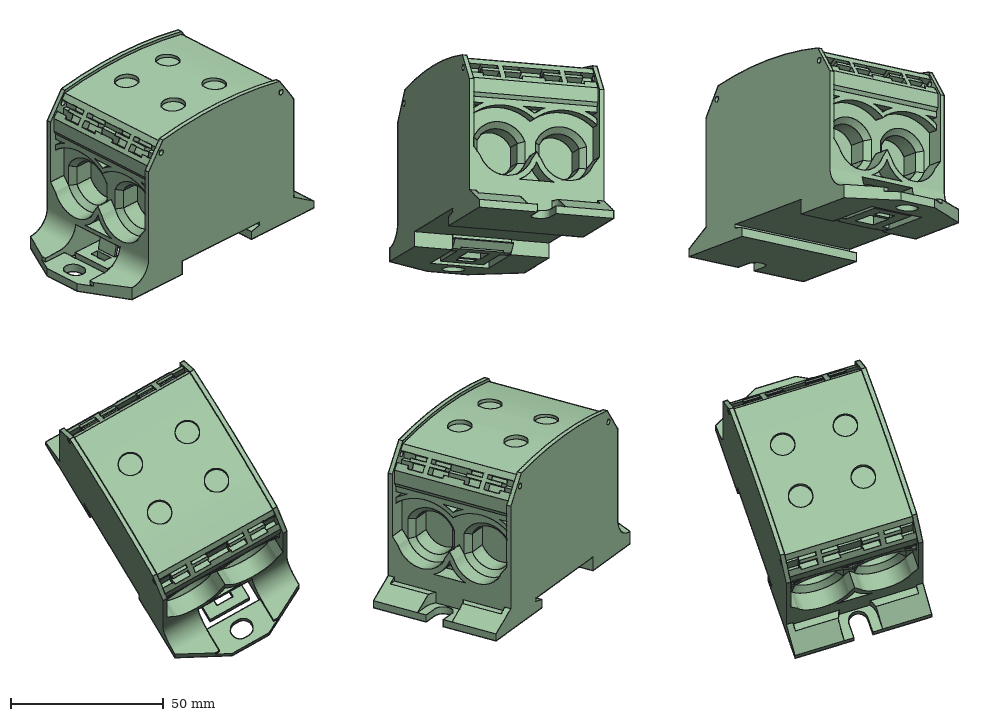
import cadquery as cq
import math


WIDTH = 47.0
HEIGHT = 57.0
TOTAL_LENGTH = 93.0
BLOCK_HALF = 33.6
BACK_FOOT_END = 42.9
FRONT_FOOT_END = BACK_FOOT_END - TOTAL_LENGTH
HALF_WIDTH = WIDTH / 2
CUT_MARGIN = 0.9

WALL_INNER_X = 21.9
SHOULDER_HALF = 27.0
SHOULDER_Z = 54.7
CHAMFER_BOTTOM_Z = 45.3
CROWN_DROP = 1.0
PIN_HOLE_RADIUS = 0.9
PIN_HOLE_Y = 27.7
PIN_HOLE_Z = 50.2

LID_SLOPE_BOTTOM_Y = 32.1
LID_SLOPE_BOTTOM_Z = 46.1
LID_LIP_Z = 41.3
LID_UNDERSIDE_Z = 40.0
BAND_Y = 31.3

POLE_X = 10.8
SCREW_HOLE_RADIUS = 4.0
SCREW_HOLE_Y = 9.5
SCREW_HOLE_FLOOR_Z = 54.4

VENT_TOP_Z = 51.7
VENT_BAR_TOP_Z = 50.5
VENT_BAR_BOTTOM_Z = 49.5
VENT_BOTTOM_Z = 47.4
VENT_DEPTH = 3.2
VENT_RIB_HALF = 0.9
VENT_LENGTH = 5.9
POCKET_FRONT_Y = -30.6
POCKET_FLOOR_Z = 42.8
POCKET_FACE_Y = -27.7
POCKET_LEDGE_Z = 48.2
POCKET_BACK_Y = -26.2
POCKET_ROOF_Z = 50.6

ENTRY_Z = 23.4
ENTRY_FLOOR_Y = 27.4
ENTRY_SHOULDER_Z = 22.6
ENTRY_ARC_RADIUS = 17.2
ENTRY_TOP_Z = 37.8
FUNNEL_RADIUS = 9.7
FUNNEL_FLAT = 8.9
BORE_RADIUS = 7.7
BORE_FLAT = 7.0
BORE_DEPTH = 6.3
RIM_WIDTH = 1.6
UPPER_POCKET_TOP_Z = 38.0
LOWER_POCKET_BOTTOM_Z = 12.8
LOWER_POCKET_RADIUS = 11.6

BACK_FOOT_EDGE_Z = 2.6
BACK_FOOT_TOP_Z = 7.9
BACK_SLOT_RADIUS = 3.3
BACK_SLOT_Y = 37.6
BACK_SEAT_RADIUS = 6.6
BACK_LEDGE_HALF_X = 21.2
BACK_LEDGE_Y = 36.1

FILLET_RADIUS = 7.7
FRONT_FOOT_Z = 4.6
FRONT_FOOT_TIP_HALF_X = 7.0
FRONT_RIDGE_END_Y = -47.5
FRONT_RIDGE_END_Z = 4.3
FRONT_PLATE_Z = 2.9
FRONT_HOLE_Y = -44.35
FRONT_HOLE_LENGTH = 7.6
FRONT_HOLE_DIAMETER = 6.3

RAIL_TOP_Z = 5.0
RAIL_FRONT_Y = -17.9
RAIL_BACK_Y = 17.8
RAIL_LIP_Y = 13.9
RAIL_LIP_TIP_Z = 3.0
RAIL_LIP_ROOT_Z = 3.9

CAVITY_HALF_X = 10.2
CAVITY_FRONT_Y = -38.8
CAVITY_BACK_Y = -17.5
CAVITY_TOP_Z = 11.3
CLIP_HALF_X = 7.4
CLIP_FRONT_Y = -36.6
CLIP_BOTTOM_Z = 0.5
CLIP_TOP_Z = 3.2
RISER_FRONT_Y = -21.2
CLIP_NOSE_Y = -15.5
CLIP_NOSE_TOP_Z = 3.5
CLIP_NOSE_EDGE = 0.3
TONGUE_HALF_X = 3.7
TONGUE_FOOT_Y = -29.7
TONGUE_TOP_Y = -27.9
TONGUE_THICKNESS = 0.9
CLIP_HOLE_HALF_X = 3.1
CLIP_HOLE_FRONT_Y = -33.6
CLIP_HOLE_BACK_Y = -30.7

CROWN_RISE = HEIGHT - SHOULDER_Z
LID_SHOULDER_Z = SHOULDER_Z - CROWN_DROP
LID_SLOPE_RUN = LID_SLOPE_BOTTOM_Y - SHOULDER_HALF
LID_SLOPE_FALL = LID_SHOULDER_Z - LID_SLOPE_BOTTOM_Z
LID_SLOPE_LENGTH = math.hypot(LID_SLOPE_RUN, LID_SLOPE_FALL)
ENTRY_ARC_Z = ENTRY_TOP_Z - ENTRY_ARC_RADIUS
UPPER_POCKET_RADIUS = ENTRY_ARC_RADIUS + RIM_WIDTH
ENTRY_DEPTH = BLOCK_HALF - ENTRY_FLOOR_Y
FUNNEL_DEPTH = FUNNEL_FLAT - BORE_FLAT


def box(x_range, y_range, z_range):
    """Axis-aligned block given by its limits."""
    size = [high - low for low, high in (x_range, y_range, z_range)]
    corner = (x_range[0], y_range[0], z_range[0])
    return cq.Workplane("XY").box(*size, centered=False).translate(corner)


def extrude_along_x(profile, x_start, x_end):
    """Solid from a closed (Y, Z) profile between two X positions."""
    return profile.extrude(x_end - x_start).translate((x_start, 0, 0))


def both_ends(cutter):
    """The cutter at the front end together with its mirror image at the back end."""
    return cutter.union(cutter.mirror("XZ"))


def lid_slope_y(z):
    """Y of the front lid slope at height z."""
    return -SHOULDER_HALF - LID_SLOPE_RUN * (LID_SHOULDER_Z - z) / LID_SLOPE_FALL


def housing_blank():
    """Full-width side profile with both feet, the crowned top and the rail groove."""
    slant = math.sqrt(0.5)
    fillet_centre_y = -BLOCK_HALF - FILLET_RADIUS
    fillet_centre_z = FRONT_FOOT_Z + FILLET_RADIUS
    fillet_middle = (fillet_centre_y + slant * FILLET_RADIUS, fillet_centre_z - slant * FILLET_RADIUS)
    profile = (
        cq.Workplane("YZ")
        .moveTo(FRONT_FOOT_END, 0)
        .lineTo(RAIL_FRONT_Y, 0)
        .lineTo(RAIL_FRONT_Y, RAIL_TOP_Z)
        .lineTo(RAIL_BACK_Y, RAIL_TOP_Z)
        .lineTo(RAIL_BACK_Y, RAIL_LIP_ROOT_Z)
        .lineTo(RAIL_LIP_Y, RAIL_LIP_TIP_Z)
        .lineTo(RAIL_LIP_Y, 0)
        .lineTo(BACK_FOOT_END, 0)
        .lineTo(BACK_FOOT_END, BACK_FOOT_EDGE_Z)
        .lineTo(BLOCK_HALF, BACK_FOOT_TOP_Z)
        .lineTo(BLOCK_HALF, CHAMFER_BOTTOM_Z)
        .lineTo(SHOULDER_HALF, SHOULDER_Z)
        .threePointArc((0, HEIGHT), (-SHOULDER_HALF, SHOULDER_Z))
        .lineTo(-BLOCK_HALF, CHAMFER_BOTTOM_Z)
        .lineTo(-BLOCK_HALF, fillet_centre_z)
        .threePointArc(fillet_middle, (fillet_centre_y, FRONT_FOOT_Z))
        .lineTo(FRONT_RIDGE_END_Y, FRONT_RIDGE_END_Z)
        .lineTo(FRONT_RIDGE_END_Y, FRONT_PLATE_Z)
        .lineTo(FRONT_FOOT_END, FRONT_PLATE_Z)
        .close()
    )
    return extrude_along_x(profile, -HALF_WIDTH, HALF_WIDTH)


def lid_relief():
    """Material removed between the side walls to leave the lid and its lipped ends."""
    clear_y = BLOCK_HALF + CUT_MARGIN
    clear_z = HEIGHT + CUT_MARGIN
    profile = (
        cq.Workplane("YZ")
        .moveTo(-clear_y, clear_z)
        .lineTo(-clear_y, ENTRY_SHOULDER_Z)
        .lineTo(-BAND_Y, ENTRY_SHOULDER_Z)
        .lineTo(-BAND_Y, LID_UNDERSIDE_Z)
        .lineTo(-LID_SLOPE_BOTTOM_Y, LID_LIP_Z)
        .lineTo(-LID_SLOPE_BOTTOM_Y, LID_SLOPE_BOTTOM_Z)
        .lineTo(-SHOULDER_HALF, LID_SHOULDER_Z)
        .threePointArc((0, LID_SHOULDER_Z + CROWN_RISE), (SHOULDER_HALF, LID_SHOULDER_Z))
        .lineTo(LID_SLOPE_BOTTOM_Y, LID_SLOPE_BOTTOM_Z)
        .lineTo(LID_SLOPE_BOTTOM_Y, LID_LIP_Z)
        .lineTo(BAND_Y, LID_UNDERSIDE_Z)
        .lineTo(BAND_Y, ENTRY_SHOULDER_Z)
        .lineTo(clear_y, ENTRY_SHOULDER_Z)
        .lineTo(clear_y, clear_z)
        .close()
    )
    return extrude_along_x(profile, -WALL_INNER_X, WALL_INNER_X)


def screw_holes():
    """Four blind round holes in the lid."""
    centres = [(x, y) for x in (-POLE_X, POLE_X) for y in (-SCREW_HOLE_Y, SCREW_HOLE_Y)]
    return (
        cq.Workplane("XY", origin=(0, 0, SCREW_HOLE_FLOOR_Z))
        .pushPoints(centres)
        .circle(SCREW_HOLE_RADIUS)
        .extrude(HEIGHT - SCREW_HOLE_FLOOR_Z)
    )


def pin_holes():
    """Small holes through both side walls near the end chamfers."""
    wall = HALF_WIDTH - WALL_INNER_X
    holes = cq.Workplane("YZ").pushPoints([(-PIN_HOLE_Y, PIN_HOLE_Z), (PIN_HOLE_Y, PIN_HOLE_Z)])
    holes = holes.circle(PIN_HOLE_RADIUS).extrude(wall)
    return holes.translate((WALL_INNER_X, 0, 0)).union(holes.translate((-HALF_WIDTH, 0, 0)))


def vent_slot(x_start, x_end, z_bottom, z_top):
    """Slot cut square to the front lid slope, between two heights on the slope."""
    inward_y = VENT_DEPTH * LID_SLOPE_FALL / LID_SLOPE_LENGTH
    inward_z = -VENT_DEPTH * LID_SLOPE_RUN / LID_SLOPE_LENGTH
    low = (lid_slope_y(z_bottom), z_bottom)
    high = (lid_slope_y(z_top), z_top)
    inner_high = (high[0] + inward_y, high[1] + inward_z)
    inner_low = (low[0] + inward_y, low[1] + inward_z)
    profile = cq.Workplane("YZ").polyline([low, high, inner_high, inner_low]).close()
    return extrude_along_x(profile, x_start, x_end)


def vent_pocket(x_start, x_end):
    """Upright pocket behind the front lid slope, beside the slots, with a ledge on its back wall."""
    slope_steepness = LID_SLOPE_FALL / LID_SLOPE_RUN
    front_top_z = LID_SHOULDER_Z - slope_steepness * (-SHOULDER_HALF - POCKET_FRONT_Y)
    points = [
        (lid_slope_y(VENT_TOP_Z), VENT_TOP_Z),
        (POCKET_BACK_Y, POCKET_ROOF_Z),
        (POCKET_BACK_Y, POCKET_LEDGE_Z),
        (POCKET_FACE_Y, POCKET_LEDGE_Z),
        (POCKET_FACE_Y, POCKET_FLOOR_Z),
        (POCKET_FRONT_Y, POCKET_FLOOR_Z),
        (POCKET_FRONT_Y, front_top_z),
    ]
    return extrude_along_x(cq.Workplane("YZ").polyline(points).close(), x_start, x_end)


def vents():
    """Two slots on each side of every pole centre, with upright pockets between the groups."""
    slot_near = VENT_RIB_HALF
    slot_far = VENT_RIB_HALF + VENT_LENGTH
    pocket_half = POLE_X - slot_far
    cutter = vent_pocket(-pocket_half, pocket_half)
    cutter = cutter.union(vent_pocket(POLE_X + slot_far, WALL_INNER_X))
    cutter = cutter.union(vent_pocket(-WALL_INNER_X, -POLE_X - slot_far))
    for pole in (-POLE_X, POLE_X):
        for start, end in ((pole - slot_far, pole - slot_near), (pole + slot_near, pole + slot_far)):
            cutter = cutter.union(vent_slot(start, end, VENT_BAR_TOP_Z, VENT_TOP_Z))
            cutter = cutter.union(vent_slot(start, end, VENT_BOTTOM_Z, VENT_BAR_BOTTOM_Z))
    return both_ends(cutter)


def end_plane(y):
    """Sketch plane across the block at Y = y; extruding goes toward the front."""
    return cq.Workplane("XZ", origin=(0, y, 0))


def flatted_circle(sketch, x, radius, flat):
    """Circle about a wire entry axis with a vertical flat on each side."""
    rise = math.sqrt(radius ** 2 - flat ** 2)
    return (
        sketch.moveTo(x - flat, ENTRY_Z - rise)
        .threePointArc((x, ENTRY_Z - radius), (x + flat, ENTRY_Z - rise))
        .lineTo(x + flat, ENTRY_Z + rise)
        .threePointArc((x, ENTRY_Z + radius), (x - flat, ENTRY_Z + rise))
        .close()
    )


def wire_entry(x):
    """Recess with an arched top and round bottom, leading through a funnel into a flatted bore."""
    to_wall = WALL_INNER_X - POLE_X
    reach_left = POLE_X if x > 0 else to_wall
    reach_right = to_wall if x > 0 else POLE_X
    tangent_z = ENTRY_Z - math.sqrt(FUNNEL_RADIUS ** 2 - FUNNEL_FLAT ** 2)

    def arch_z(reach):
        return ENTRY_ARC_Z + math.sqrt(ENTRY_ARC_RADIUS ** 2 - reach ** 2)

    recess = (
        end_plane(-BLOCK_HALF)
        .moveTo(x - reach_left, ENTRY_SHOULDER_Z)
        .lineTo(x - FUNNEL_FLAT, tangent_z)
        .threePointArc((x, ENTRY_Z - FUNNEL_RADIUS), (x + FUNNEL_FLAT, tangent_z))
        .lineTo(x + reach_right, ENTRY_SHOULDER_Z)
        .lineTo(x + reach_right, arch_z(reach_right))
        .threePointArc((x, ENTRY_TOP_Z), (x - reach_left, arch_z(reach_left)))
        .close()
        .extrude(-ENTRY_DEPTH)
    )
    funnel_mouth = flatted_circle(end_plane(-ENTRY_FLOOR_Y), x, FUNNEL_RADIUS, FUNNEL_FLAT)
    funnel = flatted_circle(
        funnel_mouth.workplane(offset=-FUNNEL_DEPTH), x, BORE_RADIUS, BORE_FLAT
    ).loft(ruled=True)
    bore_start = end_plane(FUNNEL_DEPTH - ENTRY_FLOOR_Y)
    bore = flatted_circle(bore_start, x, BORE_RADIUS, BORE_FLAT).extrude(-BORE_DEPTH)
    return recess.union(funnel).union(bore)


def pole_cylinders(radius, z):
    """Cylinders about both pole axes, as deep as the wire entry recesses."""
    cylinder = end_plane(-BLOCK_HALF).center(POLE_X, z).circle(radius).extrude(-ENTRY_DEPTH)
    return cylinder.union(cylinder.mirror("YZ"))


def corner_pockets():
    """Pockets left over between the round entries: above their arches and below their middle."""
    depth_range = (-BLOCK_HALF, -ENTRY_FLOOR_Y)
    upper = box((-WALL_INNER_X, WALL_INNER_X), depth_range, (ENTRY_Z, UPPER_POCKET_TOP_Z))
    upper = upper.cut(pole_cylinders(UPPER_POCKET_RADIUS, ENTRY_ARC_Z))
    lower = box((-POLE_X, POLE_X), depth_range, (LOWER_POCKET_BOTTOM_Z, ENTRY_Z))
    lower = lower.cut(pole_cylinders(LOWER_POCKET_RADIUS, ENTRY_Z))
    return upper.union(lower)


def back_foot_cuts():
    """Open screw slot with a flat seat, and a level ledge along the foot of the block."""
    slot_length = BACK_FOOT_END - BACK_SLOT_Y

    def u_shape(radius, z):
        sketch = cq.Workplane("XY", origin=(0, 0, z)).center(0, BACK_SLOT_Y)
        round_end = sketch.circle(radius).extrude(BACK_FOOT_TOP_Z)
        straight = sketch.center(0, slot_length / 2).rect(2 * radius, slot_length).extrude(BACK_FOOT_TOP_Z)
        return round_end.union(straight)

    beyond_block = box((-HALF_WIDTH, HALF_WIDTH), (BLOCK_HALF, BACK_FOOT_END), (0, HEIGHT))
    seat = u_shape(BACK_SEAT_RADIUS, BACK_FOOT_EDGE_Z).intersect(beyond_block)
    slope = (BACK_FOOT_TOP_Z - BACK_FOOT_EDGE_Z) / (BACK_FOOT_END - BLOCK_HALF)
    ledge_z = BACK_FOOT_TOP_Z - slope * (BACK_LEDGE_Y - BLOCK_HALF)
    ledge = box(
        (-BACK_LEDGE_HALF_X, BACK_LEDGE_HALF_X), (BLOCK_HALF, BACK_LEDGE_Y), (ledge_z, BACK_FOOT_TOP_Z)
    )
    return u_shape(BACK_SLOT_RADIUS, 0).union(seat).union(ledge)


def front_foot_cuts():
    """Tapered corners, lowered middle plate and oblong screw hole of the front foot."""
    corner_y = -BLOCK_HALF - FILLET_RADIUS
    corner = [(HALF_WIDTH, corner_y), (HALF_WIDTH, FRONT_FOOT_END), (FRONT_FOOT_TIP_HALF_X, FRONT_FOOT_END)]
    taper = cq.Workplane("XY").polyline(corner).close().extrude(FRONT_FOOT_Z)
    plate = box(
        (-CAVITY_HALF_X, CAVITY_HALF_X), (FRONT_FOOT_END, CAVITY_FRONT_Y), (FRONT_PLATE_Z, CAVITY_TOP_Z)
    )
    hole = (
        cq.Workplane("XY")
        .center(0, FRONT_HOLE_Y)
        .slot2D(FRONT_HOLE_LENGTH, FRONT_HOLE_DIAMETER)
        .extrude(FRONT_PLATE_Z)
    )
    return taper.union(taper.mirror("YZ")).union(plate).union(hole)


def clip_cavity():
    """Cavity under the front of the block, open to the front foot, the underside and the rail groove."""
    return box((-CAVITY_HALF_X, CAVITY_HALF_X), (CAVITY_FRONT_Y, CAVITY_BACK_Y), (0, CAVITY_TOP_Z))


def make_housing():
    body = housing_blank().cut(lid_relief()).cut(screw_holes()).cut(pin_holes()).cut(vents())
    for x in (-POLE_X, POLE_X):
        body = body.cut(both_ends(wire_entry(x)))
    body = body.cut(both_ends(corner_pockets()))
    return body.cut(back_foot_cuts()).cut(front_foot_cuts()).cut(clip_cavity())


def clip_tab():
    """Flat tab with a riser at its back end that fills the height of the cavity."""
    x_range = (-CLIP_HALF_X, CLIP_HALF_X)
    tab = box(x_range, (CLIP_FRONT_Y, CAVITY_BACK_Y), (CLIP_BOTTOM_Z, CLIP_TOP_Z))
    riser = box(x_range, (RISER_FRONT_Y, CAVITY_BACK_Y), (CLIP_BOTTOM_Z, CAVITY_TOP_Z))
    return tab.union(riser)


def clip_head():
    """Cross bar as wide as the cavity, with the nose that hooks under the rail."""
    points = [
        (RISER_FRONT_Y, CLIP_BOTTOM_Z),
        (RAIL_FRONT_Y, CLIP_BOTTOM_Z),
        (CLIP_NOSE_Y, CLIP_NOSE_TOP_Z - CLIP_NOSE_EDGE),
        (CLIP_NOSE_Y, CLIP_NOSE_TOP_Z),
        (CAVITY_BACK_Y, CLIP_NOSE_TOP_Z),
        (CAVITY_BACK_Y, RAIL_TOP_Z),
        (RISER_FRONT_Y, RAIL_TOP_Z),
    ]
    return extrude_along_x(cq.Workplane("YZ").polyline(points).close(), -CAVITY_HALF_X, CAVITY_HALF_X)


def spring_tongue():
    """Thin tongue leaning back from the tab up to the cavity ceiling."""
    lean = (TONGUE_TOP_Y - TONGUE_FOOT_Y) / (CAVITY_TOP_Z - CLIP_TOP_Z)
    root_y = TONGUE_FOOT_Y - lean * (CLIP_TOP_Z - CLIP_BOTTOM_Z)
    points = [
        (root_y, CLIP_BOTTOM_Z),
        (root_y + TONGUE_THICKNESS, CLIP_BOTTOM_Z),
        (TONGUE_TOP_Y + TONGUE_THICKNESS, CAVITY_TOP_Z),
        (TONGUE_TOP_Y, CAVITY_TOP_Z),
    ]
    return extrude_along_x(cq.Workplane("YZ").polyline(points).close(), -TONGUE_HALF_X, TONGUE_HALF_X)


def make_rail_clip():
    """Tab with a tool hole, an opening behind its tongue, and a head that grips the rail."""
    z_range = (CLIP_BOTTOM_Z, CLIP_TOP_Z)
    opening = box((-TONGUE_HALF_X, TONGUE_HALF_X), (TONGUE_FOOT_Y, RISER_FRONT_Y), z_range)
    tool_hole = box(
        (-CLIP_HOLE_HALF_X, CLIP_HOLE_HALF_X), (CLIP_HOLE_FRONT_Y, CLIP_HOLE_BACK_Y), z_range
    )
    return clip_tab().cut(opening).union(spring_tongue()).union(clip_head()).cut(tool_hole)


housing = make_housing()
rail_clip = make_rail_clip()
result = cq.Compound.makeCompound([housing.val(), rail_clip.val()])